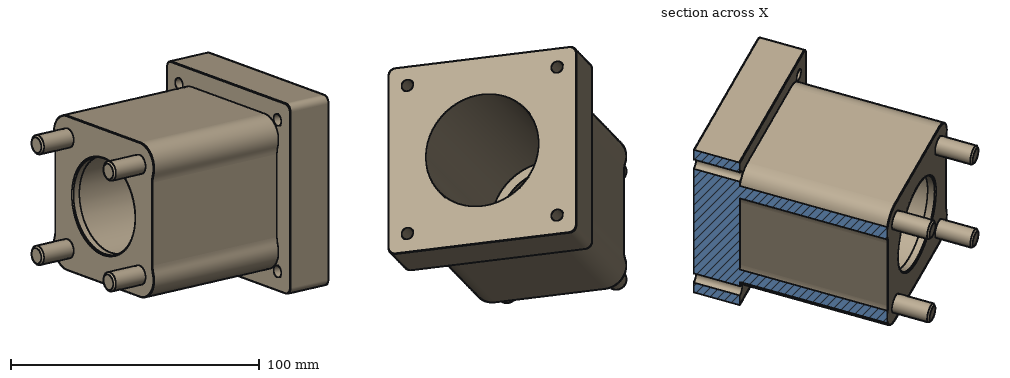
import cadquery as cq
import math

FLANGE_SIZE = 80.0
FLANGE_THICKNESS = 20.0
FLANGE_CORNER_RADIUS = 3.0
MOUNT_HOLE_DIAMETER = 4.92
MOUNT_BOLT_CIRCLE = 90.0

BODY_SIZE = 65.0
BODY_LENGTH = 64.0
BODY_CORNER_RADIUS = 9.0
SIDE_RECESS = 1.0
SIDE_BLEND_RADIUS = 10.0

PIN_DIAMETER = 8.0
PIN_LENGTH = 16.0
PIN_PITCH = 46.5
PIN_CHAMFER = 0.8

LIP_DIAMETER = 40.0
LIP_LENGTH = 3.5
LIP_CHAMFER = 0.5
CAVITY_DIAMETER = 48.0

EDGE_CHAMFER = 0.3

REAR_Y = (FLANGE_THICKNESS + BODY_LENGTH + PIN_LENGTH) / 2
FLANGE_FRONT_Y = REAR_Y - FLANGE_THICKNESS
BODY_FRONT_Y = FLANGE_FRONT_Y - BODY_LENGTH


def plane_at(y):
    """XZ plane at the given Y: local x is X, local y is Z, extrusion runs toward -Y."""
    return cq.Workplane("XZ", origin=(0, y, 0))


def square_pattern(pitch):
    """Four points at the corners of a centred square."""
    half = pitch / 2
    return [(x, z) for x in (-half, half) for z in (-half, half)]


def make_flange():
    flange = plane_at(REAR_Y).rect(FLANGE_SIZE, FLANGE_SIZE).extrude(FLANGE_THICKNESS)
    flange = flange.edges("|Y").fillet(FLANGE_CORNER_RADIUS)
    return flange.faces("<Y or >Y").chamfer(EDGE_CHAMFER)


def make_body():
    """Square bar whose left and right faces sink between its corner columns."""
    half = BODY_SIZE / 2
    corner_center = half - BODY_CORNER_RADIUS
    side_x = half - SIDE_RECESS

    center_distance = BODY_CORNER_RADIUS + SIDE_BLEND_RADIUS
    blend_angle = math.acos(1 - SIDE_RECESS / center_distance)
    blend_end_z = corner_center - center_distance * math.sin(blend_angle)

    def corner_point(angle):
        return (
            corner_center + BODY_CORNER_RADIUS * math.cos(angle),
            corner_center + BODY_CORNER_RADIUS * math.sin(angle),
        )

    def blend_point(angle):
        return (
            side_x + SIDE_BLEND_RADIUS * (1 - math.cos(angle)),
            blend_end_z + SIDE_BLEND_RADIUS * math.sin(angle),
        )

    def mirrored(point, sign_x, sign_z):
        return (sign_x * point[0], sign_z * point[1])

    corner_top = corner_point(math.pi / 2)
    corner_middle = corner_point((math.pi / 2 - blend_angle) / 2)
    corner_end = corner_point(-blend_angle)
    blend_middle = blend_point(blend_angle / 2)
    blend_end = blend_point(0)

    outline = plane_at(FLANGE_FRONT_Y).moveTo(*mirrored(corner_top, -1, 1))
    for sign in (1, -1):
        outline = (
            outline.lineTo(*mirrored(corner_top, sign, sign))
            .threePointArc(mirrored(corner_middle, sign, sign), mirrored(corner_end, sign, sign))
            .threePointArc(mirrored(blend_middle, sign, sign), mirrored(blend_end, sign, sign))
            .lineTo(*mirrored(blend_end, sign, -sign))
            .threePointArc(mirrored(blend_middle, sign, -sign), mirrored(corner_end, sign, -sign))
            .threePointArc(mirrored(corner_middle, sign, -sign), mirrored(corner_top, sign, -sign))
        )
    body = outline.close().extrude(BODY_LENGTH)
    return body.faces("<Y").chamfer(EDGE_CHAMFER)


def make_pins():
    pins = plane_at(BODY_FRONT_Y).pushPoints(square_pattern(PIN_PITCH))
    pins = pins.circle(PIN_DIAMETER / 2).extrude(PIN_LENGTH)
    return pins.faces("<Y").chamfer(PIN_CHAMFER)


def make_bore():
    """Revolved void: chamfered mouth, lip, then the cavity out through the rear."""
    lip_radius = LIP_DIAMETER / 2
    cavity_radius = CAVITY_DIAMETER / 2
    lip_rear_y = BODY_FRONT_Y + LIP_LENGTH
    profile = [
        (0, BODY_FRONT_Y),
        (lip_radius + LIP_CHAMFER, BODY_FRONT_Y),
        (lip_radius, BODY_FRONT_Y + LIP_CHAMFER),
        (lip_radius, lip_rear_y),
        (cavity_radius, lip_rear_y),
        (cavity_radius, REAR_Y),
        (0, REAR_Y),
    ]
    return cq.Workplane("XY").polyline(profile).close().revolve(360, (0, 0, 0), (0, 1, 0))


def make_mount_holes():
    holes = plane_at(REAR_Y).pushPoints(square_pattern(MOUNT_BOLT_CIRCLE / math.sqrt(2)))
    return holes.circle(MOUNT_HOLE_DIAMETER / 2).extrude(FLANGE_THICKNESS)


flange = make_flange().cut(make_mount_holes())
result = flange.union(make_body()).union(make_pins()).cut(make_bore())